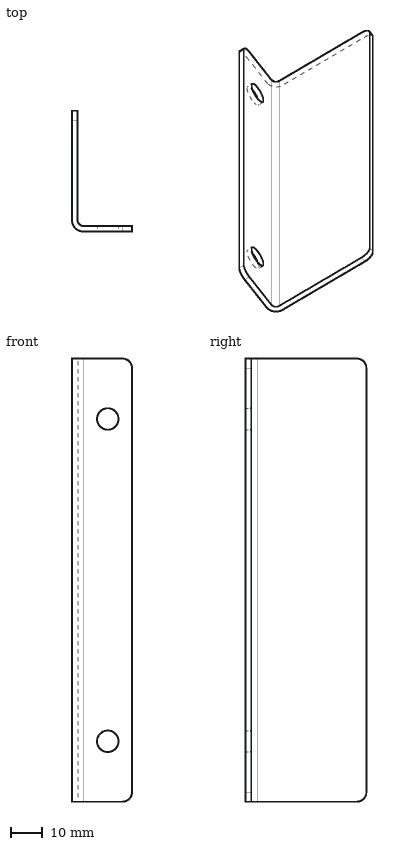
import cadquery as cq

height = 139.7
flange_width = 19.0
web_width = 38.1

thickness = 1.8
inside_bend_radius = 1.8
outside_bend_radius = inside_bend_radius + thickness

corner_radius = 3.1
hole_diameter = 6.7
hole_spacing = 101.5
hole_offset = 11.3


def make_angle():
    """Extrude the L section, with its outer corner at the origin."""
    section = (
        cq.Workplane("XY")
        .moveTo(outside_bend_radius, 0)
        .lineTo(flange_width, 0)
        .lineTo(flange_width, thickness)
        .lineTo(outside_bend_radius, thickness)
        .radiusArc((thickness, outside_bend_radius), inside_bend_radius)
        .lineTo(thickness, web_width)
        .lineTo(0, web_width)
        .lineTo(0, outside_bend_radius)
        .radiusArc((outside_bend_radius, 0), -outside_bend_radius)
        .close()
    )
    return section.extrude(height)


def round_free_corners(body):
    """Round the top and bottom corners at the free edge of each leg."""
    body = body.faces(">X").edges("|Y").fillet(corner_radius)
    return body.faces(">Y").edges("|X").fillet(corner_radius)


def make_holes():
    """Cutters for the pair of holes through the flange."""
    hole_heights = [(height - hole_spacing) / 2, (height + hole_spacing) / 2]
    return (
        cq.Workplane("XZ")
        .pushPoints([(hole_offset, z) for z in hole_heights])
        .circle(hole_diameter / 2)
        .extrude(-thickness)
    )


result = round_free_corners(make_angle()).cut(make_holes())